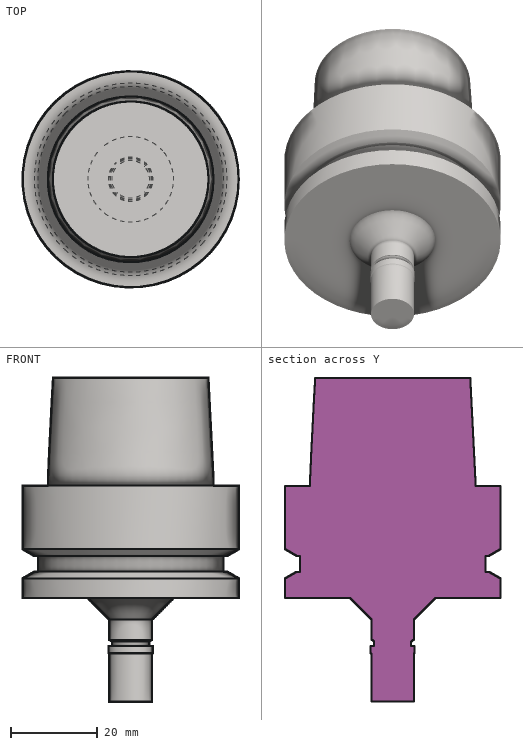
import cadquery as cq
import math

total_height = 75.0
taper_base_z = 52.05
flange_top_z = 50.0
flange_bottom_z = 24.0
cone_bottom_z = 19.05

plug_top_radius = 18.0
plug_base_radius = 38.3 / 2

flange_radius = 50.0 / 2
groove_radius = 43.0 / 2
groove_center_z = 31.95
groove_floor_width = 3.6
groove_mouth_width = 6.75
bevel_angle = 30.0

shank_radius = 10.0 / 2
cone_top_radius = 9.9
neck_radius = 8.7 / 2
neck_top_z = 14.3
neck_bottom_z = 13.0
neck_chamfer = 0.4
collar_radius = 10.3 / 2
collar_bottom_z = 11.2
collar_chamfer = collar_radius - shank_radius


def revolve_profile(points):
    """Revolve a closed (radius, height) outline about the Z axis."""
    return cq.Workplane("XZ").polyline(points).close().revolve(360, (0, 0, 0), (0, 1, 0))


def make_plug():
    return revolve_profile([
        (0, flange_top_z),
        (plug_base_radius, flange_top_z),
        (plug_base_radius, taper_base_z),
        (plug_top_radius, total_height),
        (0, total_height),
    ])


def make_flange():
    bevel_height = (groove_mouth_width - groove_floor_width) / 2
    bevel_inner_radius = flange_radius - bevel_height / math.tan(math.radians(bevel_angle))
    floor_bottom_z = groove_center_z - groove_floor_width / 2
    floor_top_z = groove_center_z + groove_floor_width / 2
    return revolve_profile([
        (0, flange_bottom_z),
        (flange_radius, flange_bottom_z),
        (flange_radius, floor_bottom_z - bevel_height),
        (bevel_inner_radius, floor_bottom_z),
        (groove_radius, floor_bottom_z),
        (groove_radius, floor_top_z),
        (bevel_inner_radius, floor_top_z),
        (flange_radius, floor_top_z + bevel_height),
        (flange_radius, flange_top_z),
        (0, flange_top_z),
    ])


def make_shank():
    return revolve_profile([
        (0, 0),
        (shank_radius, 0),
        (shank_radius, collar_bottom_z),
        (collar_radius, collar_bottom_z + collar_chamfer),
        (collar_radius, neck_bottom_z),
        (neck_radius, neck_bottom_z),
        (neck_radius, neck_top_z - neck_chamfer),
        (neck_radius + neck_chamfer, neck_top_z),
        (shank_radius, neck_top_z),
        (shank_radius, cone_bottom_z),
        (cone_top_radius, flange_bottom_z),
        (0, flange_bottom_z),
    ])


result = make_plug().union(make_flange()).union(make_shank())